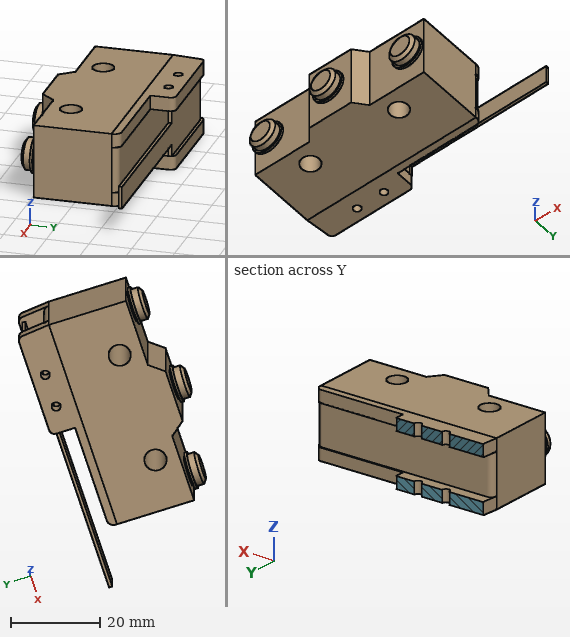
import cadquery as cq

total_length = 64.8
body_length = 49.4
body_height = 17.5
body_middle = body_length / 2

housing_depth = 18.2
nose_drop = 3.3
nose_base_half_width = 8.8
nose_tip_half_width = 6.15
mount_hole_diameter = 5.0
mount_hole_spacing = 25.9
mount_hole_y = -12.9

plate_thickness = 3.3
plate_step_height = 1.95
plate_end_radius = 1.6
ear_height = 7.65
ear_length = 24.9
ear_lean = 0.8
ear_corner_radius = 1.3
hinge_hole_diameter = 2.0
hinge_hole_xs = (10.95, 18.8)
hinge_hole_y = 4.4
core_width = body_height - 2 * plate_thickness
core_height = 1.55
core_corner_radius = 1.5

lever_thickness = 0.8
lever_top = 6.95
lever_start = 1.9
arm_width = 5.25

screw_pitch = 20.4
neck_radius = 3.45
collar_radius = 4.3
head_radius = 3.75
tip_radius = 2.8
neck_end = 0.4
collar_end = 1.0
chamfer_start = 2.6
screw_length = 3.3


def make_housing():
    """Block with a tapered nose on its front and two mounting holes through its height."""
    nose_y = -housing_depth - nose_drop
    outline = [
        (0, 0),
        (0, -housing_depth),
        (body_middle - nose_base_half_width, -housing_depth),
        (body_middle - nose_tip_half_width, nose_y),
        (body_middle + nose_tip_half_width, nose_y),
        (body_middle + nose_base_half_width, -housing_depth),
        (body_length, -housing_depth),
        (body_length, 0),
    ]
    block = cq.Workplane("XY").polyline(outline).close().extrude(body_height / 2, both=True)
    hole_xs = (body_middle - mount_hole_spacing / 2, body_middle + mount_hole_spacing / 2)
    holes = (
        cq.Workplane("XY")
        .pushPoints([(x, mount_hole_y) for x in hole_xs])
        .circle(mount_hole_diameter / 2)
        .extrude(body_height / 2, both=True)
    )
    return block.cut(holes)


def make_side_plate(bottom_z):
    """L-shaped plate: a leaning ear with hinge holes, and a low step running to the far end."""
    outline = [
        (0, 0),
        (body_length, 0),
        (body_length, plate_step_height),
        (ear_length, plate_step_height),
        (ear_length, ear_height),
        (ear_lean, ear_height),
    ]
    plate = cq.Workplane("XY").workplane(offset=bottom_z).polyline(outline).close().extrude(plate_thickness)
    plate = plate.edges("|Z and >Y").fillet(ear_corner_radius)
    step_corner = cq.selectors.NearestToPointSelector(
        (body_length, plate_step_height, bottom_z + plate_thickness / 2)
    )
    plate = plate.edges("|Z").edges(step_corner).fillet(plate_end_radius)
    holes = (
        cq.Workplane("XY")
        .workplane(offset=bottom_z)
        .pushPoints([(x, hinge_hole_y) for x in hinge_hole_xs])
        .circle(hinge_hole_diameter / 2)
        .extrude(plate_thickness)
    )
    return plate.cut(holes)


def make_core():
    """Low block that fills the cover between the side plates, with both end corners rounded."""
    core = cq.Workplane("XY").rect(body_length, core_height).extrude(core_width / 2, both=True)
    core = core.translate((body_middle, core_height / 2, 0))
    return core.edges("|Z and >Y").fillet(core_corner_radius)


def make_lever():
    """Flat strip, full width between the ears and narrowing to an arm past them."""
    outline = [
        (lever_start, -core_width / 2),
        (ear_length, -core_width / 2),
        (ear_length, -arm_width / 2),
        (total_length, -arm_width / 2),
        (total_length, arm_width / 2),
        (ear_length, arm_width / 2),
        (ear_length, core_width / 2),
        (lever_start, core_width / 2),
    ]
    return cq.Workplane("XZ", origin=(0, lever_top, 0)).polyline(outline).close().extrude(lever_thickness)


def make_screw(x, face_y):
    """Screw turned about a Y axis: neck, collar and chamfered head."""
    profile = [
        (0, 0),
        (neck_radius, 0),
        (neck_radius, -neck_end),
        (collar_radius, -neck_end),
        (collar_radius, -collar_end),
        (head_radius, -collar_end),
        (head_radius, -chamfer_start),
        (tip_radius, -screw_length),
        (0, -screw_length),
    ]
    screw = cq.Workplane("XY").polyline(profile).close().revolve(360, (0, 0, 0), (0, 1, 0))
    return screw.translate((x, face_y, 0))


housing = make_housing()
core = make_core()
lever = make_lever()

side_plates = []
for bottom_z in (-body_height / 2, body_height / 2 - plate_thickness):
    side_plates.append(make_side_plate(bottom_z))

screws = []
for step in (-1, 0, 1):
    on_nose = step == 0
    face_y = -housing_depth - (nose_drop if on_nose else 0)
    screws.append(make_screw(body_middle + step * screw_pitch, face_y))

bodies = [housing, core, lever, *side_plates, *screws]
result = cq.Compound.makeCompound([body.val() for body in bodies])